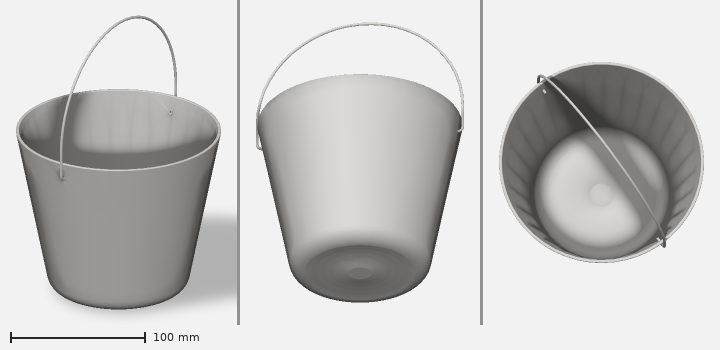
import cadquery as cq
import math

rim_height = 127.0
rim_radius = 76.3
rim_width = 2.4
rim_rounding = 0.6
blend_height = 10.0
blend_radius = 53.0
inner_blend_radius = 50.4

foot_height = 0.6
foot_radius = 42.5
floor_thickness = 2.04
arch_radius = 41.0
disc_radius = 8.8
arch_rise = 1.7

wire_diameter = 2.04
handle_span = 156.9
overall_height = 214.3
bend_radius = 3.9
bend_start_height = 117.9
stub_length = 5.0

wire_radius = wire_diameter / 2
leg_offset = handle_span / 2 - wire_radius
arch_base = overall_height - handle_span / 2
stub_height = bend_start_height - bend_radius

hole_diameter = 2.8
bedding_depth = 0.2
hole_height = stub_height - wire_radius + bedding_depth + hole_diameter / 2

wall_lean = math.atan2(rim_radius - blend_radius, rim_height - blend_height)
arc_sweep = math.pi / 2 - wall_lean
outer_arc_radius = (blend_height - foot_height) / (1 - math.cos(arc_sweep))
outer_arc_start = blend_radius - outer_arc_radius * math.sin(arc_sweep)
outer_arc_middle = (
    outer_arc_start + outer_arc_radius * math.sin(arc_sweep / 2),
    foot_height + outer_arc_radius * (1 - math.cos(arc_sweep / 2)),
)
floor_height = foot_height + floor_thickness


def make_body():
    """Revolve the thin bucket section about Z."""
    crown_radius = (disc_radius + arch_radius) / 2
    crown_height = foot_height + arch_rise
    profile = (
        cq.Workplane("XZ")
        .moveTo(0, floor_thickness)
        .lineTo(disc_radius, floor_thickness)
        .threePointArc((crown_radius, crown_height + floor_thickness), (arch_radius, floor_height))
        .lineTo(foot_radius, floor_height)
        .tangentArcPoint((inner_blend_radius, blend_height), relative=False)
        .lineTo(rim_radius - rim_width, rim_height)
        .lineTo(rim_radius, rim_height)
        .lineTo(blend_radius, blend_height)
        .threePointArc(outer_arc_middle, (outer_arc_start, foot_height))
        .lineTo(arch_radius, foot_height)
        .threePointArc((crown_radius, crown_height), (disc_radius, 0))
        .lineTo(0, 0)
        .close()
    )
    body = profile.revolve(360, (0, 0, 0), (0, 1, 0))
    return body.faces(">Z").edges().fillet(rim_rounding)


def make_handle_holes():
    """Level bore through both walls along Y."""
    return (
        cq.Workplane("XZ", origin=(0, 0, hole_height))
        .circle(hole_diameter / 2)
        .extrude(rim_radius, both=True)
    )


def make_handle():
    """Sweep the round wire along one continuous centre line."""
    stub_start = leg_offset - bend_radius
    stub_end = stub_start - stub_length
    bend_reach = bend_radius * math.sin(math.radians(45))
    bend_middle = (stub_start + bend_reach, bend_start_height - bend_reach)
    path = (
        cq.Workplane("YZ")
        .moveTo(-stub_end, stub_height)
        .lineTo(-stub_start, stub_height)
        .threePointArc((-bend_middle[0], bend_middle[1]), (-leg_offset, bend_start_height))
        .lineTo(-leg_offset, arch_base)
        .threePointArc((0, arch_base + leg_offset), (leg_offset, arch_base))
        .lineTo(leg_offset, bend_start_height)
        .threePointArc(bend_middle, (stub_start, stub_height))
        .lineTo(stub_end, stub_height)
    )
    section = cq.Workplane("XZ", origin=(0, -stub_end, stub_height)).circle(wire_radius)
    return section.sweep(path)


result = make_body().cut(make_handle_holes()).union(make_handle())